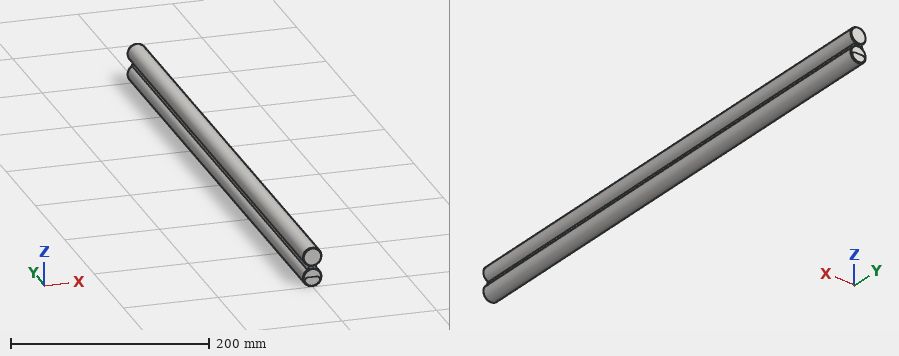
import cadquery as cq
import math

length = 600.0
rod_diameter = 20.0
overall_height = 42.0
end_chamfer = 0.9

web_top_width = 7.0
web_bottom_width = 10.0

insert_diameter = 17.5
insert_corner_radius = 3.3
insert_flat_rise = 0.5

rod_radius = rod_diameter / 2
axis_height = overall_height / 2 - rod_radius


def along_y(z=0.0):
    """Sketch plane at the +Y end, centred at height z; extruding it runs toward -Y."""
    return cq.Workplane("XZ", origin=(0, length / 2, z))


def make_cylinder(diameter, z):
    return along_y(z).circle(diameter / 2).extrude(length)


def make_rod(z):
    """Round rod with a small chamfer around both ends."""
    return make_cylinder(rod_diameter, z).faces("<Y or >Y").chamfer(end_chamfer)


def contact_height(width):
    """Distance from mid-height at which a web of this width meets a rod's surface."""
    return axis_height - math.sqrt(rod_radius**2 - (width / 2) ** 2)


def make_web():
    """Strip between the rods, wider at the bottom, hollowed to seat on both of them."""
    top = web_top_width / 2
    bottom = web_bottom_width / 2
    top_z = contact_height(web_top_width)
    bottom_z = -contact_height(web_bottom_width)
    outline = [(-bottom, bottom_z), (bottom, bottom_z), (top, top_z), (-top, top_z)]
    strip = along_y().polyline(outline).close().extrude(length)
    for z in (axis_height, -axis_height):
        strip = strip.cut(make_cylinder(rod_diameter, z))
    return strip


def make_insert():
    """D-shaped bar with rounded upper corners, filling the lower part of the lower rod."""
    flat_z = insert_flat_rise - axis_height
    below_flat = cq.Workplane("XY", origin=(0, 0, flat_z)).rect(rod_diameter, length).extrude(-rod_diameter)
    bar = make_cylinder(insert_diameter, -axis_height).intersect(below_flat)
    return bar.edges("|Y").fillet(insert_corner_radius)


upper_rod = make_rod(axis_height)
web = make_web()
insert = make_insert()
lower_rod = make_rod(-axis_height).cut(insert)

result = cq.Compound.makeCompound([upper_rod.val(), web.val(), lower_rod.val(), insert.val()])